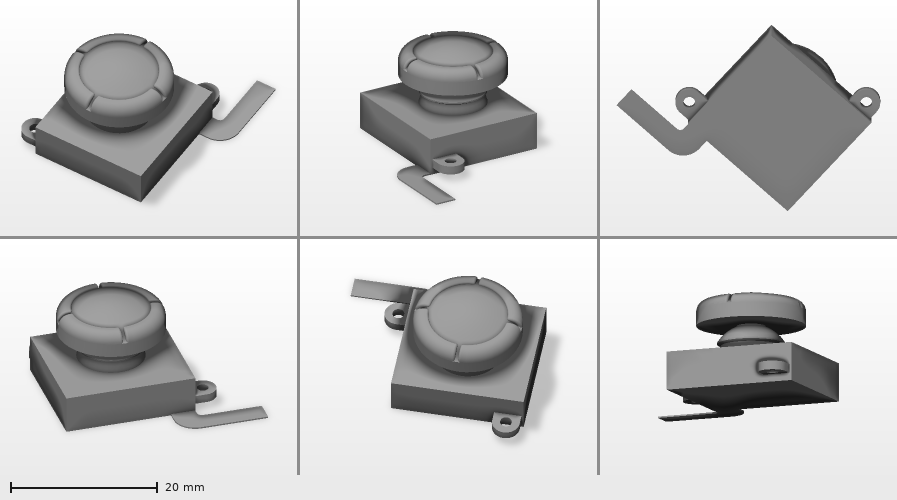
import cadquery as cq
import math


body_length_x = 17.0
body_length_y = 18.4
body_left = -7.75
body_front = -9.15
body_right = body_left + body_length_x
body_back = body_front + body_length_y
body_height = 5.3
cover_thickness = 0.35
housing_height = body_height - cover_thickness

ear_width = 3.8
ear_hole_diameter = 1.6
ear_bottom = 1.05
ear_thickness = 1.2
ear_corner_distance = 2.2
left_ear_reach = 1.4
back_ear_reach = 1.7

cable_thickness = 0.2
cable_reach_x = 4.5
cable_reach_y = 9.0
cable_arm_width = 3.45
cable_tail_width = 3.0
cable_arm_setback = 0.05
cable_outer_radius = 3.0
cable_inner_radius = 0.7

joint_center_z = 4.25
dome_radius = 4.85
skirt_radius = 5.5
skirt_rim_radius = 4.66
skirt_land_height = 0.2

stem_radius = 2.0
cap_radius = 7.5
cap_bottom = 9.5
cap_edge_z = 11.5
cap_top = 14.02
rim_rounding = 1.5
rim_inner_radius = 5.4
rim_top = cap_edge_z + rim_rounding
slot_count = 4
slot_width = 0.45
slot_edge_fillet = 0.3
stick_twist = -2.0


def sphere_z(radius, distance):
    """Height on a joint sphere at a given distance from the stick axis."""
    return joint_center_z + math.sqrt(radius**2 - distance**2)


def make_ear(reach):
    """Screw ear pointing to +Y, with its root on the X axis."""
    half_width = ear_width / 2
    return (
        cq.Workplane("XY")
        .moveTo(-half_width, 0)
        .lineTo(-half_width, reach)
        .threePointArc((0, reach + half_width), (half_width, reach))
        .lineTo(half_width, 0)
        .close()
        .moveTo(0, reach)
        .circle(ear_hole_diameter / 2)
        .extrude(ear_thickness)
    )


def make_housing():
    block = cq.Workplane("XY").box(body_length_x, body_length_y, housing_height, centered=False)
    block = block.translate((body_left, body_front, 0))
    left_ear = make_ear(left_ear_reach).rotate((0, 0, 0), (0, 0, 1), 90)
    left_ear = left_ear.translate((body_left, body_front + ear_corner_distance, ear_bottom))
    back_ear = make_ear(back_ear_reach)
    back_ear = back_ear.translate((body_right - ear_corner_distance, body_back, ear_bottom))
    return block.union(left_ear).union(back_ear)


def make_cover():
    """Flat cover plate carrying the spherical dome."""
    plate = cq.Workplane("XY").box(body_length_x, body_length_y, cover_thickness, centered=False)
    plate = plate.translate((body_left, body_front, housing_height))
    dome_base_radius = math.sqrt(dome_radius**2 - (housing_height - joint_center_z)**2)
    middle = dome_base_radius / 2
    dome = (
        cq.Workplane("XZ")
        .moveTo(0, housing_height)
        .lineTo(dome_base_radius, housing_height)
        .threePointArc((middle, sphere_z(dome_radius, middle)), (0, joint_center_z + dome_radius))
        .close()
        .revolve(360, (0, 0), (0, 1))
    )
    return plate.union(dome)


def make_cable():
    """L-shaped flat cable leaving the housing at its right side."""
    tail_right = body_right + cable_reach_x
    tail_left = tail_right - cable_tail_width
    tail_end = body_back + cable_reach_y
    arm_back = body_back - cable_arm_setback
    arm_front = arm_back - cable_arm_width
    cable = (
        cq.Workplane("XY")
        .moveTo(body_right, arm_front)
        .lineTo(tail_right, arm_front)
        .lineTo(tail_right, tail_end)
        .lineTo(tail_left, tail_end)
        .lineTo(tail_left, arm_back)
        .lineTo(body_right, arm_back)
        .close()
        .extrude(cable_thickness)
    )
    outer_corner = cq.NearestToPointSelector((tail_right, arm_front, cable_thickness / 2))
    inner_corner = cq.NearestToPointSelector((tail_left, arm_back, cable_thickness / 2))
    cable = cable.edges("|Z").edges(outer_corner).fillet(cable_outer_radius)
    return cable.edges("|Z").edges(inner_corner).fillet(cable_inner_radius)


def make_skirt():
    """Spherical shell on the dome, with its edge cut square to the sphere, and the stem above."""
    land_top = sphere_z(skirt_radius, skirt_rim_radius)
    land_bottom = land_top - skirt_land_height
    toward_center = dome_radius / math.hypot(skirt_rim_radius, land_bottom - joint_center_z)
    inner_edge = skirt_rim_radius * toward_center
    stem_z = sphere_z(skirt_radius, stem_radius)
    outer_middle = (stem_radius + skirt_rim_radius) / 2
    inner_middle = inner_edge / 2
    return (
        cq.Workplane("XZ")
        .moveTo(0, joint_center_z + dome_radius)
        .threePointArc(
            (inner_middle, sphere_z(dome_radius, inner_middle)),
            (inner_edge, sphere_z(dome_radius, inner_edge)),
        )
        .lineTo(skirt_rim_radius, land_bottom)
        .lineTo(skirt_rim_radius, land_top)
        .threePointArc((outer_middle, sphere_z(skirt_radius, outer_middle)), (stem_radius, stem_z))
        .lineTo(stem_radius, cap_bottom)
        .lineTo(0, cap_bottom)
        .close()
        .revolve(360, (0, 0), (0, 1))
    )


def make_cap():
    """Cylindrical cap with a crowned top."""
    crown_height = cap_top - cap_edge_z
    crown_radius = (cap_radius**2 + crown_height**2) / (2 * crown_height)
    middle = cap_radius / 2
    crown_middle_z = cap_top - crown_radius + math.sqrt(crown_radius**2 - middle**2)
    return (
        cq.Workplane("XZ")
        .moveTo(0, cap_bottom)
        .lineTo(cap_radius, cap_bottom)
        .lineTo(cap_radius, cap_edge_z)
        .threePointArc((middle, crown_middle_z), (0, cap_top))
        .close()
        .revolve(360, (0, 0), (0, 1))
    )


def make_rim_segment():
    """One rounded segment of the grip ring, between two neighbouring slots."""
    flat_radius = cap_radius - rim_rounding
    diagonal = rim_rounding * math.sqrt(0.5)
    ring = (
        cq.Workplane("XZ")
        .moveTo(rim_inner_radius, cap_bottom)
        .lineTo(cap_radius, cap_bottom)
        .lineTo(cap_radius, cap_edge_z)
        .threePointArc((flat_radius + diagonal, cap_edge_z + diagonal), (flat_radius, rim_top))
        .lineTo(rim_inner_radius, rim_top)
        .close()
        .revolve(360, (0, 0), (0, 1))
    )
    sector = cq.Workplane("XY", origin=(slot_width / 2, slot_width / 2, cap_bottom))
    sector = sector.rect(cap_radius, cap_radius, centered=False).extrude(rim_top - cap_bottom)
    segment = ring.intersect(sector)
    far_corner = cq.NearestToPointSelector((cap_radius, cap_radius, rim_top))
    top_outer_arc = segment.faces(">Z").edges(far_corner).val()
    slot_sides_and_top = segment.faces("<X or <Y or >Z").edges("not <Z").vals()
    rounded_edges = [edge for edge in slot_sides_and_top if not edge.isSame(top_outer_arc)]
    return segment.newObject(rounded_edges).fillet(slot_edge_fillet)


def make_stick():
    stick = make_skirt().union(make_cap())
    segment = make_rim_segment()
    for index in range(slot_count):
        angle = index * 360 / slot_count
        stick = stick.union(segment.rotate((0, 0, 0), (0, 0, 1), angle))
    return stick.rotate((0, 0, 0), (0, 0, 1), stick_twist)


housing = make_housing()
cover = make_cover()
cable = make_cable()
stick = make_stick()

result = cq.Compound.makeCompound([housing.val(), cover.val(), cable.val(), stick.val()])